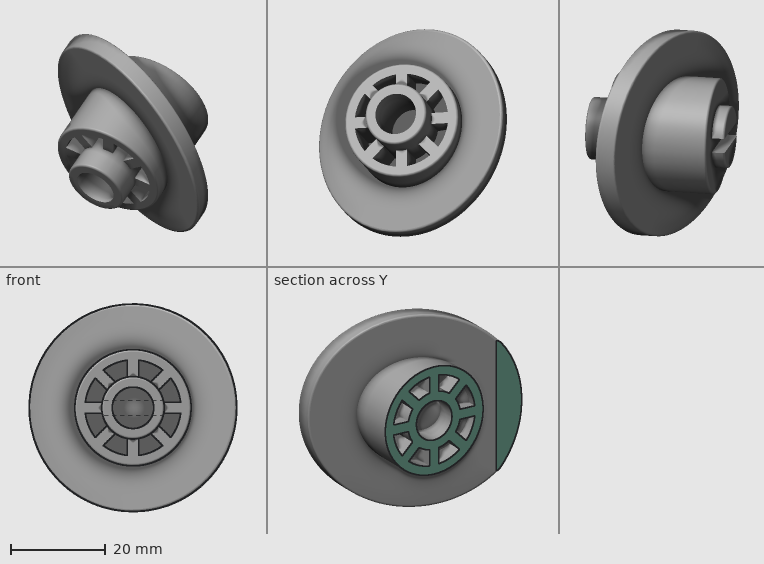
import cadquery as cq
import math

hub_diameter = 24.55
hub_length = 22.0
edge_radius = 0.5

plate_diameter = 43.85
plate_thickness = 4.05
plate_tilt = 22.0

boss_diameter = 13.2
front_boss_length = 5.4
bore_diameter = 8.75
rear_boss_length = 2.7
rear_slot_width = 3.15

rib_count = 8
rib_width = 2.4
pocket_outer_diameter = 20.25

half_hub = hub_length / 2
tilt = math.radians(plate_tilt)
plate_half_width = plate_thickness / 2 / math.cos(tilt)
front_end = -half_hub - front_boss_length
rear_end = half_hub + rear_boss_length


def cylinder(diameter, y_start, y_end):
    """Solid cylinder on the Y axis between two Y positions."""
    plane = cq.Workplane("XZ", origin=(0, y_start, 0))
    return plane.circle(diameter / 2).extrude(y_start - y_end)


def tilted_slab(y_front, y_rear):
    """Slab with both faces parallel to the plate, given where they cross the Y axis."""
    half_width = plate_diameter
    drop = half_width * math.tan(tilt)
    corners = [
        (-half_width, y_front + drop),
        (half_width, y_front - drop),
        (half_width, y_rear - drop),
        (-half_width, y_rear + drop),
    ]
    return cq.Workplane("XY").polyline(corners).close().extrude(plate_diameter, both=True)


def make_plate():
    blank = cylinder(plate_diameter, -plate_diameter, plate_diameter)
    plate = blank.intersect(tilted_slab(-plate_half_width, plate_half_width))
    return plate.faces("not %CYLINDER").edges().fillet(edge_radius)


def make_hub():
    return cylinder(hub_diameter, -half_hub, half_hub).faces("<Y or >Y").edges().fillet(edge_radius)


def make_front_boss():
    return cylinder(boss_diameter, front_end, 0).faces("<Y").edges().fillet(edge_radius)


def make_rear_boss():
    boss = cylinder(boss_diameter, 0, rear_end).faces(">Y").edges().fillet(edge_radius)
    slot_length = 2 * boss_diameter
    slot = cq.Workplane("XY").box(slot_length, rear_boss_length, rear_slot_width)
    return boss.cut(slot.translate((0, half_hub + rear_boss_length / 2, 0)))


def make_pockets():
    """Ring of pockets that end on the tilted front face of the plate."""
    ring = cylinder(pocket_outer_diameter, -half_hub, half_hub)
    ring = ring.cut(cylinder(boss_diameter, -half_hub, half_hub))
    for index in range(rib_count // 2):
        rib_bar = cq.Workplane("XY").box(hub_diameter, hub_length, rib_width)
        ring = ring.cut(rib_bar.rotate((0, 0, 0), (0, 1, 0), index * 360 / rib_count))
    return ring.intersect(tilted_slab(-plate_diameter, -plate_half_width))


def make_bore():
    """Blind bore that ends on the tilted front face of the plate."""
    bore = cylinder(bore_diameter, front_end, half_hub)
    return bore.intersect(tilted_slab(-plate_diameter, -plate_half_width))


body = make_hub().union(make_front_boss()).union(make_rear_boss()).union(make_plate())
result = body.cut(make_pockets()).cut(make_bore())